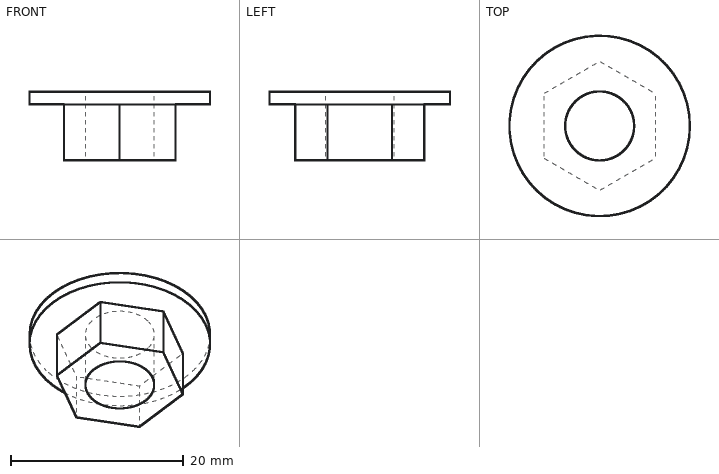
import cadquery as cq

flange_diameter = 21.0
flange_thickness = 1.5
total_height = 8.0
bore_diameter = 8.0
hex_across_corners = 15.0

hex_height = total_height - flange_thickness

hex_body = (
    cq.Workplane("XY")
    .transformed(rotate=(0, 0, 90))
    .polygon(6, hex_across_corners)
    .extrude(hex_height)
)

flange = (
    cq.Workplane("XY")
    .workplane(offset=hex_height)
    .circle(flange_diameter / 2)
    .extrude(flange_thickness)
)

bore = cq.Workplane("XY").circle(bore_diameter / 2).extrude(total_height)

result = hex_body.union(flange).cut(bore)